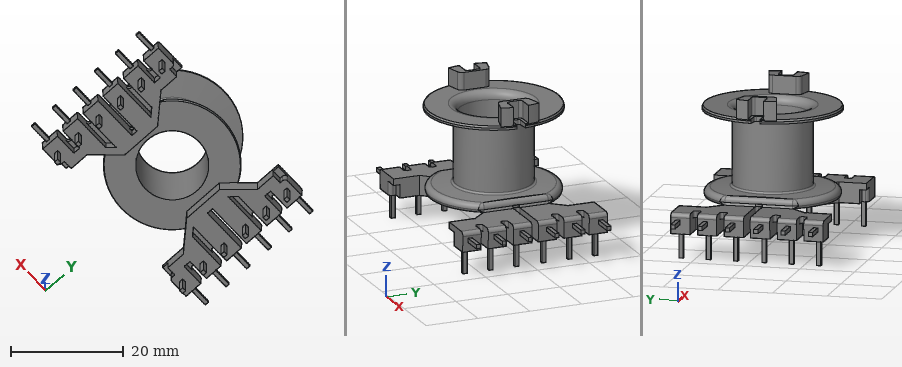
import cadquery as cq
import math


block_bottom = 4.85
plate_bottom = 7.4
block_top = 8.6
lower_rim_z = 9.05
lower_flange_z = 10.15
upper_rim_z = 24.27
upper_flange_z = 25.05
total_height = 28.35

tube_radius = 14.5 / 2
bore_radius = 13.0 / 2
bore_flare = 1.6
tube_fillet = 0.35

lower_radius = 12.25
lower_base_inset = 0.15
lower_edge_round = lower_flange_z - lower_rim_z
lower_slope_rise = 0.2
flat_base_x = 10.4
flat_rim_x = 10.2
flat_crest_x = 9.43
corner_flat_angle = 17
corner_flat_offset = 1.35

upper_radius = 12.55
upper_slope_drop = 0.3
upper_chamfer_width = 0.2
upper_chamfer_z = 24.7
flange_notch_x = 9.97
flange_notch_width = 1.65
flange_notch_round = 0.35

post_outer_radius = 12.5
post_inner_x = 8.55
post_half_width_inner = 2.85
post_half_width_outer = 3.83
post_round = 0.9
post_base_z = upper_chamfer_z
post_groove_x = 9.3
post_groove_width = 2.85
post_groove_round = 0.55

block_half_length = 27.95 / 2
block_outer_x = 18.95
block_foot_x = 18.8
block_edge_round = 0.77
block_inner_x = 12.65
shoulder_y = 8.95
tongue_x = 8.1
tongue_half_width = 3.95
end_notch_x = 15.1
end_notch_wall_x = 14.5
end_notch_depth = 1.25
end_notch_round = end_notch_x - end_notch_wall_x
inner_wall = end_notch_wall_x - block_inner_x

slot_pitch = 4.87
slot_width = 1.35
slot_end_x = 16.0
slot_round = 0.55
centre_slot_width = 1.25
centre_slot_end_x = 10.0

pin_size = 0.77
pin_pitch = 5.0
pins_per_half = 3
inner_pin_y = 2.6
pin_tip_x = 22.75
pin_leg_x = 16.4
pin_arm_z = 7.0

SIDES = (0, 180)


def box(x0, x1, y0, y1, z0, z1):
    return cq.Workplane("XY").box(x1 - x0, y1 - y0, z1 - z0, centered=False).translate((x0, y0, z0))


def inward_slot(end_x, outer_x, width, end_round, z0, z1, y=0.0):
    """Slot open at outer_x, with rounded corners at its closed end."""
    half = width / 2
    return box(end_x, outer_x, y - half, y + half, z0, z1).edges("|Z and <X").fillet(end_round)


def on_both_sides(shape):
    """The +X feature together with its copy on the -X side."""
    first, second = (shape.rotate((0, 0, 0), (0, 0, 1), angle) for angle in SIDES)
    return first.union(second)


def arc_middle(center_x, center_z, radius, angle):
    """Point on an arc, at an angle in degrees from its level outward direction."""
    return (
        center_x + radius * math.cos(math.radians(angle)),
        center_z + radius * math.sin(math.radians(angle)),
    )


def make_spool():
    """Tube and both flanges, turned as one profile around Z."""
    fillet_radius = tube_radius + tube_fillet
    lower_root_z = lower_flange_z + lower_slope_rise
    upper_root_z = upper_rim_z - upper_slope_drop
    lower_crest = lower_radius - lower_edge_round
    flare_radius = bore_radius + bore_flare
    flare_z = upper_flange_z - bore_flare
    lower_fillet_z = lower_root_z + tube_fillet
    upper_fillet_z = upper_root_z - tube_fillet
    profile = (
        cq.Workplane("XZ")
        .moveTo(bore_radius, block_top)
        .lineTo(lower_radius - lower_base_inset, block_top)
        .lineTo(lower_radius, lower_rim_z)
        .threePointArc(
            arc_middle(lower_crest, lower_rim_z, lower_edge_round, 45), (lower_crest, lower_flange_z)
        )
        .lineTo(fillet_radius, lower_root_z)
        .threePointArc(
            arc_middle(fillet_radius, lower_fillet_z, tube_fillet, 225), (tube_radius, lower_fillet_z)
        )
        .lineTo(tube_radius, upper_fillet_z)
        .threePointArc(
            arc_middle(fillet_radius, upper_fillet_z, tube_fillet, 135), (fillet_radius, upper_root_z)
        )
        .lineTo(upper_radius, upper_rim_z)
        .lineTo(upper_radius, upper_chamfer_z)
        .lineTo(upper_radius - upper_chamfer_width, upper_flange_z)
        .lineTo(flare_radius, upper_flange_z)
        .threePointArc(arc_middle(flare_radius, flare_z, bore_flare, 135), (bore_radius, flare_z))
    )
    return profile.close().revolve(360, (0, 0, 0), (0, 1, 0))


def make_flange_flat(offset=0.0):
    """Material outside a rounded flat of the lower flange, moved out in X by the offset."""
    bend = (
        flat_crest_x + (flat_rim_x - flat_crest_x) * math.cos(math.radians(45)),
        lower_rim_z + lower_edge_round * math.sin(math.radians(45)),
    )
    clear_x = upper_radius
    clear_z = lower_flange_z + lower_slope_rise
    return (
        cq.Workplane("XZ")
        .moveTo(flat_base_x, block_top)
        .lineTo(flat_rim_x, lower_rim_z)
        .threePointArc(bend, (flat_crest_x, lower_flange_z))
        .lineTo(flat_crest_x, clear_z)
        .lineTo(clear_x, clear_z)
        .lineTo(clear_x, block_top)
        .close()
        .extrude(lower_radius, both=True)
        .translate((offset, 0, 0))
    )


def make_flange_flats():
    """Flat on the +X side with a narrow corner flat at each end."""
    flats = make_flange_flat()
    for angle in (-corner_flat_angle, corner_flat_angle):
        corner_flat = make_flange_flat(corner_flat_offset)
        flats = flats.union(corner_flat.rotate((0, 0, 0), (0, 0, 1), angle))
    return flats


def make_post():
    """U-shaped guide post whose back follows the flange rim."""
    height = total_height - post_base_z
    blank = (
        cq.Workplane("XY")
        .workplane(offset=post_base_z)
        .moveTo(post_inner_x, -post_half_width_inner)
        .lineTo(post_outer_radius, -post_half_width_outer)
        .lineTo(post_outer_radius, post_half_width_outer)
        .lineTo(post_inner_x, post_half_width_inner)
        .close()
        .extrude(height)
        .edges("|Z and <X")
        .fillet(post_round)
    )
    rim = cq.Workplane("XY").workplane(offset=post_base_z).circle(post_outer_radius).extrude(height)
    groove = inward_slot(
        post_groove_x, upper_radius, post_groove_width, post_groove_round, upper_flange_z, total_height
    )
    return blank.intersect(rim).cut(groove)


def block_outline(outer_x, wall=0.0):
    """Plan of a block, with its inner edge moved outward in X by the wall."""
    return [
        (outer_x, -block_half_length),
        (block_inner_x + wall, -block_half_length),
        (block_inner_x + wall, -shoulder_y),
        (tongue_x + wall, -tongue_half_width),
        (tongue_x + wall, tongue_half_width),
        (block_inner_x + wall, shoulder_y),
        (block_inner_x + wall, block_half_length),
        (outer_x, block_half_length),
    ]


def prism(points, z0, z1):
    return cq.Workplane("XY").workplane(offset=z0).polyline(points).close().extrude(z1 - z0)


def make_block_blank():
    """Block with a rounded top outer edge and a drafted outer face."""
    round_z = block_top - block_edge_round
    crest_x = block_outer_x - block_edge_round
    side = (
        cq.Workplane("XZ")
        .moveTo(tongue_x, block_bottom)
        .lineTo(block_foot_x, block_bottom)
        .lineTo(block_outer_x, round_z)
        .threePointArc(arc_middle(crest_x, round_z, block_edge_round, 45), (crest_x, block_top))
        .lineTo(tongue_x, block_top)
        .close()
        .extrude(block_half_length, both=True)
    )
    return prism(block_outline(block_outer_x), block_bottom, block_top).intersect(side)


def make_end_notch():
    """Recess under the plate at the +Y end, with a rounded mouth."""
    floor_y = block_half_length - end_notch_depth
    round_y = block_half_length - end_notch_round
    bend = (
        end_notch_x - end_notch_round * math.cos(math.radians(45)),
        round_y + end_notch_round * math.sin(math.radians(45)),
    )
    return (
        cq.Workplane("XY")
        .workplane(offset=block_bottom)
        .moveTo(block_inner_x, floor_y)
        .lineTo(end_notch_wall_x, floor_y)
        .lineTo(end_notch_wall_x, round_y)
        .threePointArc(bend, (end_notch_x, block_half_length))
        .lineTo(block_inner_x, block_half_length)
        .close()
        .extrude(plate_bottom - block_bottom)
    )


def make_slots():
    """Wire slots: short through the plate, reaching the inner wall below it."""
    lower_space = prism(block_outline(block_outer_x, inner_wall), block_bottom, plate_bottom)
    slots = inward_slot(
        centre_slot_end_x, block_outer_x, centre_slot_width, slot_round, plate_bottom, block_top
    )
    half = centre_slot_width / 2
    slots = slots.union(box(centre_slot_end_x, block_outer_x, -half, half, block_top, lower_rim_z))
    channels = box(tongue_x, block_outer_x, -half, half, block_bottom, plate_bottom)
    half = slot_width / 2
    for row in (-2, -1, 1, 2):
        y = row * slot_pitch
        slots = slots.union(
            inward_slot(slot_end_x, block_outer_x, slot_width, slot_round, plate_bottom, block_top, y)
        )
        channels = channels.union(
            box(tongue_x, block_outer_x, y - half, y + half, block_bottom, plate_bottom)
        )
    return slots.union(channels.intersect(lower_space))


def make_pins():
    """Row of L-shaped square pins, each with an outward arm and a leg."""
    half = pin_size / 2
    pins = cq.Workplane("XY")
    row = [inner_pin_y + index * pin_pitch for index in range(pins_per_half)]
    for y in row + [-y for y in row]:
        y0 = y - half
        y1 = y + half
        arm = box(pin_leg_x - half, pin_tip_x, y0, y1, pin_arm_z - half, pin_arm_z + half)
        leg = box(pin_leg_x - half, pin_leg_x + half, y0, y1, 0, pin_arm_z)
        pins = pins.add(arm.union(leg))
    return pins.combine()


end_notch = make_end_notch()
slots = make_slots()
block = make_block_blank().cut(end_notch).cut(end_notch.mirror("XZ"))
flange_notch = inward_slot(
    flange_notch_x,
    upper_radius,
    flange_notch_width,
    flange_notch_round,
    upper_rim_z - upper_slope_drop,
    upper_flange_z,
)

spool = make_spool().cut(on_both_sides(make_flange_flats()))
body = spool.union(on_both_sides(block)).union(on_both_sides(make_post()))
body = body.cut(on_both_sides(slots)).cut(on_both_sides(flange_notch))
result = body.union(on_both_sides(make_pins()))